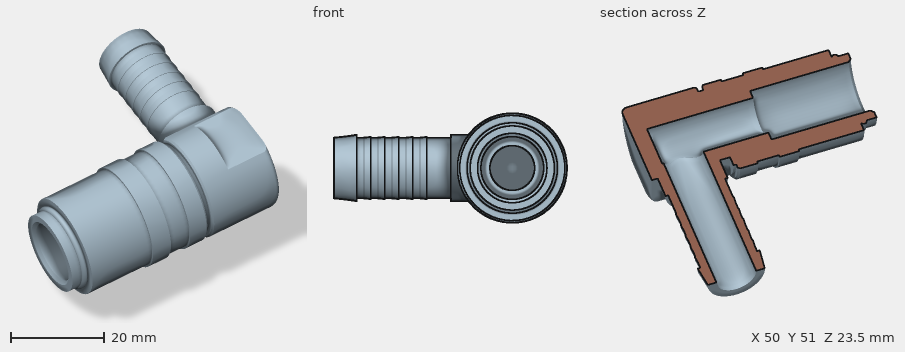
import cadquery as cq


body_diameter = 23.5
body_radius = body_diameter / 2
body_back_y = 8.45
body_front_y = -8.85
body_back_fillet = 1.5
body_front_chamfer = 0.4
wrench_flat_z = 9.5
wrench_flat_front_y = -2.0
hose_face_x = -8.2
hose_face_front_y = -9.35

neck_radius = 10.45
sleeve_radius = 11.25
sleeve_back_y = -9.95
sleeve_front_y = -38.85
ring_radius = body_radius
ring_chamfer = 0.45
rear_ring_front_y = -14.55
front_ring_back_y = -19.4
front_ring_front_y = -23.9

nose_radius = 9.05
nose_length = 3.65
nose_front_y = sleeve_front_y - nose_length
bead_ring_radius = 8.9
bead_radius = 0.75
bead_center_y = sleeve_front_y - 0.6

mouth_radius = 7.45
mouth_depth = 0.7
socket_radius = 6.75
socket_end_y = front_ring_back_y
passage_radius = 4.8
passage_end_y = passage_radius

overall_width = 50.0
tail_tip_x = body_radius - overall_width
tail_radius = 6.55
tail_bore_radius = 4.5
shoulder_radius = 7.15
shoulder_length = 4.95
tip_barb_radius = shoulder_radius
tip_barb_length = shoulder_length
ridge_count = 5
ridge_pitch = 3.0
ridge_width = 1.55
ridge_radius = 6.7
first_ridge_gap = 1.45
first_ridge_x = tail_tip_x + tip_barb_length + first_ridge_gap


def y_cylinder(radius, start_y, end_y):
    """Solid cylinder on the coupling axis; start_y is the larger Y."""
    return cq.Workplane("XZ", origin=(0, start_y, 0)).circle(radius).extrude(start_y - end_y)


def x_cylinder(radius, start_x, end_x):
    """Solid cylinder on the hose tail axis; start_x is the smaller X."""
    return cq.Workplane("YZ", origin=(start_x, 0, 0)).circle(radius).extrude(end_x - start_x)


def y_cone(start_radius, end_radius, start_y, end_y):
    """Solid frustum on the coupling axis."""
    profile = [(0, start_y), (start_radius, start_y), (end_radius, end_y), (0, end_y)]
    return cq.Workplane("XY").polyline(profile).close().revolve(360, (0, 0, 0), (0, 1, 0))


def x_cone(start_radius, end_radius, start_x, end_x):
    """Solid frustum on the hose tail axis."""
    profile = [(start_x, 0), (start_x, start_radius), (end_x, end_radius), (end_x, 0)]
    return cq.Workplane("XY").polyline(profile).close().revolve(360, (0, 0, 0), (1, 0, 0))


def make_elbow_body():
    """Round body and neck, cut flat for the wrench and for the hose tail."""
    body = y_cylinder(body_radius, body_back_y, body_front_y)
    body = body.faces(">Y").edges().fillet(body_back_fillet)
    body = body.faces("<Y").edges().chamfer(body_front_chamfer)
    body = body.union(y_cylinder(neck_radius, body_front_y, sleeve_back_y))

    cut_size = body_diameter
    flat_length = body_back_y - wrench_flat_front_y
    for side in (1, -1):
        flat_cut = cq.Workplane("XY").box(cut_size, flat_length, cut_size).translate(
            (0, wrench_flat_front_y + flat_length / 2, side * (wrench_flat_z + cut_size / 2))
        )
        body = body.cut(flat_cut)

    face_length = body_back_y - hose_face_front_y
    face_cut = cq.Workplane("XY").box(cut_size, face_length, cut_size).translate(
        (hose_face_x - cut_size / 2, hose_face_front_y + face_length / 2, 0)
    )
    return body.cut(face_cut)


def make_sleeve():
    """Sliding sleeve with two raised grip rings."""
    rear_ring = y_cylinder(ring_radius, sleeve_back_y, rear_ring_front_y)
    rear_ring = rear_ring.faces(">Y").edges().chamfer(ring_chamfer)
    front_ring = y_cylinder(ring_radius, front_ring_back_y, front_ring_front_y)
    sleeve = y_cylinder(sleeve_radius, rear_ring_front_y, sleeve_front_y)
    return sleeve.union(rear_ring).union(front_ring)


def make_nose():
    """Nose tube with a round bead against the sleeve."""
    nose = y_cylinder(nose_radius, sleeve_front_y, nose_front_y)
    bead_section = cq.Workplane("XY").center(bead_ring_radius, bead_center_y).circle(bead_radius)
    bead = bead_section.revolve(360, (-bead_ring_radius, 0, 0), (-bead_ring_radius, 1, 0))
    return nose.union(bead)


def make_hose_tail():
    """Hose tail with a tip barb, small ridges and a shoulder at the body."""
    tip_barb_end_x = tail_tip_x + tip_barb_length
    tail = x_cylinder(tail_radius, tip_barb_end_x, hose_face_x)
    tail = tail.union(x_cone(tail_radius, tip_barb_radius, tail_tip_x, tip_barb_end_x))
    for index in range(ridge_count):
        ridge_x = first_ridge_x + index * ridge_pitch
        tail = tail.union(x_cone(tail_radius, ridge_radius, ridge_x, ridge_x + ridge_width))
    return tail.union(x_cylinder(shoulder_radius, hose_face_x - shoulder_length, hose_face_x))


def make_bores():
    """Coupling bore and hose bore, meeting at the origin."""
    mouth_end_y = nose_front_y + mouth_depth
    mouth = y_cone(socket_radius, mouth_radius, mouth_end_y, nose_front_y)
    socket = y_cylinder(socket_radius, socket_end_y, nose_front_y)
    passage = y_cylinder(passage_radius, passage_end_y, socket_end_y)
    hose_bore = x_cylinder(tail_bore_radius, tail_tip_x, 0)
    return mouth.union(socket).union(passage).union(hose_bore)


solid_parts = make_elbow_body().union(make_sleeve()).union(make_nose()).union(make_hose_tail())
result = solid_parts.cut(make_bores())